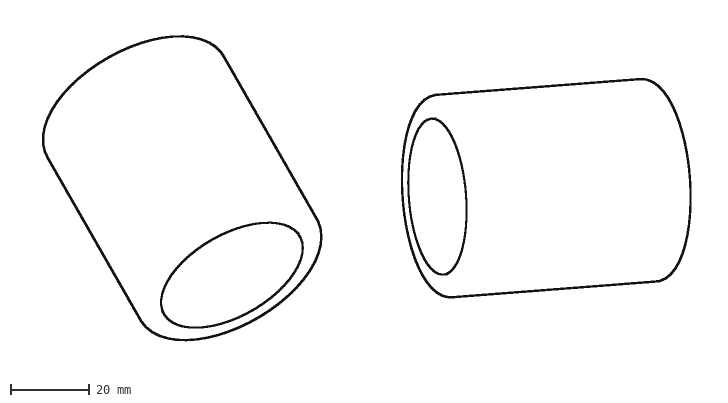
import cadquery as cq

length = 60.0
outer_diameter = 52.0
bore_diameter = 40.0
edge_radius = 2.0

body = (
    cq.Workplane("YZ", origin=(-length / 2, 0, 0))
    .circle(outer_diameter / 2)
    .extrude(length)
    .faces("<X or >X")
    .edges()
    .fillet(edge_radius)
)

bore = (
    cq.Workplane("YZ", origin=(-length / 2, 0, 0))
    .circle(bore_diameter / 2)
    .extrude(length)
)

result = body.cut(bore)